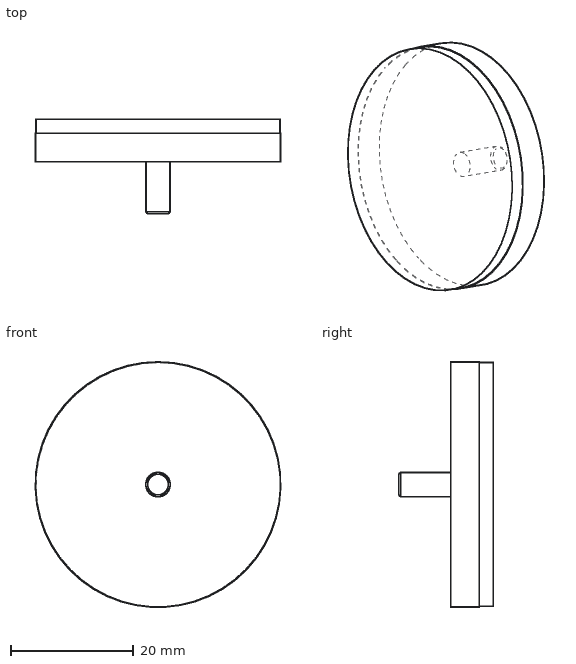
import cadquery as cq

total_length = 15.5
pin_length = 8.5
pin_diameter = 4.0
pin_chamfer = 0.3
body_diameter = 40.2
back_diameter = 40.0
back_thickness = 2.3

front_face_y = 0.0
back_face_y = total_length - pin_length
body_thickness = back_face_y - back_thickness
step_y = front_face_y + body_thickness
pin_tip_y = front_face_y - pin_length


def cylinder_along_y(diameter, start_y, length):
    """Cylinder on the Y axis, running toward +Y from start_y."""
    axis_start = cq.Vector(0, start_y, 0)
    axis_direction = cq.Vector(0, 1, 0)
    return cq.Workplane(cq.Solid.makeCylinder(diameter / 2, length, axis_start, axis_direction))


def make_disc():
    """Round body with a slightly smaller disc on its back."""
    body = cylinder_along_y(body_diameter, front_face_y, body_thickness)
    back = cylinder_along_y(back_diameter, step_y, back_thickness)
    return body.union(back)


def make_pin():
    """Central pin with a chamfered tip."""
    pin = cylinder_along_y(pin_diameter, pin_tip_y, pin_length)
    return pin.faces("<Y").edges().chamfer(pin_chamfer)


result = make_disc().union(make_pin())